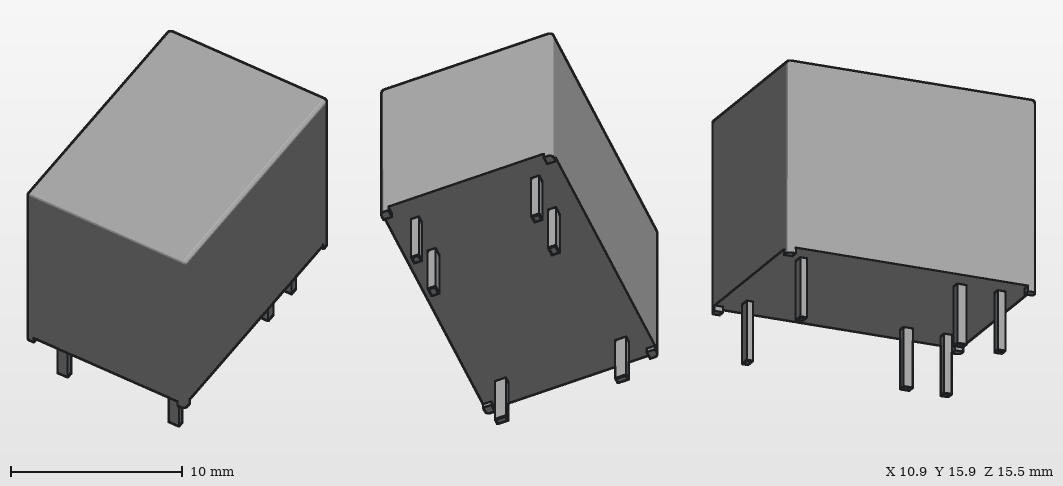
import cadquery as cq

BODY_WIDTH = 10.9
BODY_LENGTH = 15.9
BODY_HEIGHT = 12.1
EDGE_RADIUS = 0.25
FOOT_SIZE = 0.53
FOOT_HEIGHT = 0.35

PIN_DROP = 3.4
PITCH = 2.54
ROW_X = 1.5 * PITCH
END_PIN_Y = 2.5 * PITCH
INNER_PIN_Y = 1.5 * PITCH
PIN_TIP_CHAMFER = 0.05

ROW_PINS = [
    (-END_PIN_Y, 0.7, 0.4),
    (INNER_PIN_Y, 0.5, 0.6),
    (END_PIN_Y, 0.5, 0.5),
]


def make_housing():
    """Rounded box with the underside cut away between the corner feet."""
    housing = (
        cq.Workplane("XY")
        .box(BODY_WIDTH, BODY_LENGTH, BODY_HEIGHT, centered=(True, True, False))
        .edges("|Z or >Z")
        .fillet(EDGE_RADIUS)
    )
    gap_x = BODY_WIDTH - 2 * FOOT_SIZE
    gap_y = BODY_LENGTH - 2 * FOOT_SIZE
    for size_x, size_y in [(gap_x, BODY_LENGTH), (BODY_WIDTH, gap_y)]:
        channel = cq.Workplane("XY").box(size_x, size_y, FOOT_HEIGHT, centered=(True, True, False))
        housing = housing.cut(channel)
    return housing


def make_pin(x, y, size_x, size_y):
    """Rectangular pin hanging from the underside, with a chamfered tip."""
    return (
        cq.Workplane("XY", origin=(x, y, -PIN_DROP))
        .box(size_x, size_y, PIN_DROP + FOOT_HEIGHT, centered=(True, True, False))
        .faces("<Z")
        .chamfer(PIN_TIP_CHAMFER)
    )


result = make_housing()
for row_x in (-ROW_X, ROW_X):
    for pin_y, pin_size_x, pin_size_y in ROW_PINS:
        result = result.union(make_pin(row_x, pin_y, pin_size_x, pin_size_y))